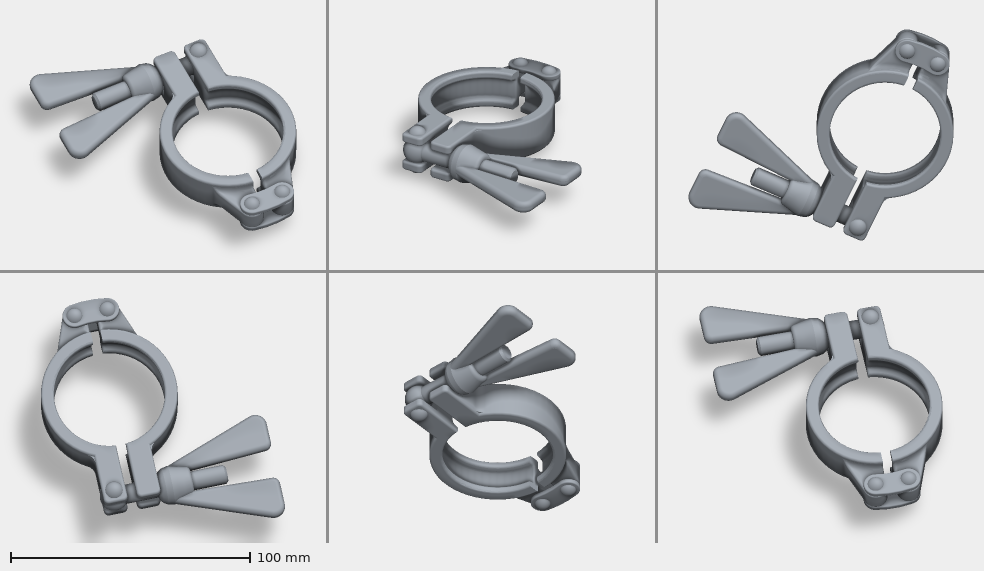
import cadquery as cq
import math


ring_radius = 28.5
bore_radius = 23.1
groove_radius = 26.0
ring_height = 16.5
half_height = ring_height / 2
half_gap = 2.0
edge_fillet = 1.0
lip_height = 3.0
lip_z = half_height - lip_height
lip_slope = 15

pivot_y = 7.0
arm_end_x = -47.6
arm_inner_x = -20.9
arm_outer_y = 2 * pivot_y - half_gap
arm_corner_radius = 2.0
arm_root_radius = 5.0
slot_height = 8.8

hinge_x = 37.2
ear_radius = pivot_y - half_gap
ear_height = 8.6
ear_root_fillet = 2.0
ear_root_x = 22.2
ear_inner_x = 25.3
ear_edge_angle = 20
link_thickness = 2.2
link_fillet = 0.49

pin_diameter = 4.9
bolt_pin_dome_diameter = 7.4
bolt_pin_dome_height = 2.4
hinge_pin_dome_diameter = 6.6
hinge_pin_dome_height = 2.0

bolt_x = -42.4
bolt_diameter = 8.0
bolt_radius = bolt_diameter / 2
bolt_end_y = -41.1
bolt_chamfer = 1.0
eye_radius = 5.9
eye_clearance = 0.1
slot_end_x = bolt_x + eye_radius + eye_clearance

nut_top_y = -11.3
nut_dome_y = -12.6
nut_shoulder_y = -14.6
nut_widest_y = -17.3
nut_bottom_y = -26.2
nut_top_radius = 4.5
nut_dome_radius = 6.5
nut_shoulder_radius = 7.7
nut_widest_radius = 8.2
nut_bottom_radius = 6.0
nut_fillet = 1.7
wing_end_y = -61.9
wing_thickness = 5.0
wing_edge_fillet = 2.0
wing_outer_reach = 25.1
wing_outer_radius = 4.9
wing_inner_radius = 3.0
wing_root_reach = 4.6
left_wing_inner_reach = 5.9
right_wing_inner_reach = 7.0

margin = 0.1


def box_between(low, high):
    """Selector for what has its centre in the box between two corners."""
    return cq.selectors.BoxSelector(low, high)


def upper_space():
    size = 4 * ring_radius
    return cq.Workplane("XY").rect(size, size).extrude(half_height)


def bore_void():
    """Upper half of the space inside the ring: bore, flared top end and tapered groove."""
    rise = (groove_radius - bore_radius) * math.tan(math.radians(lip_slope))
    profile = (
        cq.Workplane("XZ")
        .lineTo(groove_radius, 0)
        .lineTo(groove_radius, lip_z - rise)
        .lineTo(bore_radius, lip_z)
        .lineTo(bore_radius, half_height - edge_fillet)
        .radiusArc((bore_radius + edge_fillet, half_height), edge_fillet)
        .lineTo(0, half_height)
        .close()
    )
    void = profile.revolve(360, (0, 0), (0, 1))
    groove_corner = cq.selectors.RadiusNthSelector(-1)
    return void.edges(groove_corner).edges(">Z").fillet(edge_fillet)


def half_ring():
    """Solid ring blank on the +Y side; on the left it stops inside the arm."""
    disc = (
        cq.Workplane("XY").circle(ring_radius).extrude(half_height, both=True)
        .faces("|Z").edges().fillet(edge_fillet)
    )
    quarter = cq.Workplane("XY").box(
        ring_radius, ring_radius, ring_height, centered=(False, False, True)
    )
    right = quarter.translate((0, half_gap, 0))
    left = quarter.translate((-ring_radius, pivot_y, 0))
    return disc.intersect(right.union(left))


def arm():
    """Forked arm that runs from the bolt to the ring, before the bore is cut."""
    body = (
        cq.Workplane("XY")
        .moveTo(arm_end_x, half_gap)
        .lineTo(arm_inner_x, half_gap)
        .lineTo(arm_inner_x, arm_outer_y)
        .lineTo(arm_end_x, arm_outer_y)
        .close()
        .extrude(half_height, both=True)
        .edges("|Z and <X").fillet(arm_corner_radius)
        .faces("|Z").edges("not >X").fillet(edge_fillet)
    )
    slot = (
        cq.Workplane("XY")
        .box(slot_end_x - arm_end_x, 2 * arm_outer_y, slot_height, centered=(False, True, True))
        .translate((arm_end_x, 0, 0))
    )
    slot_z = slot_height / 2 + margin
    slot_rims = box_between(
        (arm_end_x - margin, 0, -slot_z), (slot_end_x - margin, arm_outer_y + margin, slot_z)
    )
    slot_faces = box_between((arm_end_x, 0, -slot_z), (slot_end_x, arm_outer_y, slot_z))
    forked = body.cut(slot)
    return forked.faces(slot_faces).faces("|Z").edges(slot_rims).fillet(edge_fillet)


def arm_root():
    """Rounded filler in the corner between the arm and the ring."""
    centre_y = arm_outer_y + arm_root_radius
    centre_distance = ring_radius + arm_root_radius
    centre_x = -math.sqrt(centre_distance ** 2 - centre_y ** 2)
    tangent_scale = ring_radius / centre_distance
    filler = (
        cq.Workplane("XY")
        .moveTo(centre_x, arm_outer_y)
        .lineTo(centre_x * tangent_scale, arm_outer_y)
        .lineTo(centre_x * tangent_scale, centre_y * tangent_scale)
        .close()
        .extrude(half_height - edge_fillet, both=True)
    )
    round_cutter = (
        cq.Workplane("XY").center(centre_x, centre_y).circle(arm_root_radius)
        .extrude(half_height, both=True)
    )
    return filler.cut(round_cutter)


def ear():
    """Ear plate with sharp edges, rounded about the hinge pin."""
    slope = math.radians(ear_edge_angle)
    tangent_x = hinge_x + ear_radius * math.sin(slope)
    tangent_y = pivot_y + ear_radius * math.cos(slope)
    root_y = tangent_y + (tangent_x - ear_root_x) * math.tan(slope)
    return (
        cq.Workplane("XY")
        .moveTo(ear_inner_x, half_gap)
        .lineTo(hinge_x, half_gap)
        .threePointArc((hinge_x + ear_radius, pivot_y), (tangent_x, tangent_y))
        .lineTo(ear_root_x, root_y)
        .close()
        .extrude(ear_height / 2, both=True)
    )


def hinge_ear():
    """Upper half of the ear, joined to the ring by a cove and rounded along its rim."""
    face_z = ear_height / 2
    body = half_ring().union(ear()).intersect(upper_space())
    root = box_between(
        (bore_radius / 2, half_gap + margin, margin),
        (ring_radius - margin, bore_radius, face_z + margin),
    )
    rim = box_between(
        (ring_radius + edge_fillet, 0, face_z - margin),
        (hinge_x + ear_radius, bore_radius, face_z + margin),
    )
    return body.edges(root).fillet(ear_root_fillet).edges(rim).fillet(edge_fillet)


def groove_mouth(start_x):
    """Selector for the groove's edges on the parting plane, from start_x toward +X."""
    end_x = start_x + groove_radius - bore_radius
    return box_between(
        (start_x + margin, half_gap - margin, margin),
        (end_x + margin if start_x > 0 else end_x - margin, half_gap + margin, lip_z - margin),
    )


def clamp_half():
    """The half on the +Y side, without pin holes."""
    upper = half_ring().union(arm()).union(arm_root()).intersect(upper_space())
    upper = upper.union(hinge_ear()).cut(bore_void())

    mouths = groove_mouth(bore_radius) + groove_mouth(-groove_radius - margin)
    lip_edge = box_between(
        (-bore_radius, pivot_y, lip_z - margin), (bore_radius, ring_radius, lip_z + margin)
    )
    upper = upper.edges(mouths + lip_edge).fillet(edge_fillet)
    return upper.union(upper.mirror("XY")).clean()


def pin_hole(x, y):
    return cq.Workplane("XY").center(x, y).circle(pin_diameter / 2).extrude(half_height, both=True)


def pin(x, y, grip_height, dome_diameter, dome_height):
    """Straight pin with a domed head at each end of the gripped stack."""
    grip = grip_height / 2
    shank = pin_diameter / 2
    dome_radius = dome_diameter / 2
    tip = grip + dome_height
    sphere_radius = (dome_radius ** 2 + dome_height ** 2) / (2 * dome_height)
    half_angle = math.asin(dome_radius / sphere_radius) / 2
    middle_radius = sphere_radius * math.sin(half_angle)
    middle_z = tip - sphere_radius * (1 - math.cos(half_angle))
    return (
        cq.Workplane("XZ")
        .moveTo(0, -tip)
        .threePointArc((middle_radius, -middle_z), (dome_radius, -grip))
        .lineTo(shank, -grip)
        .lineTo(shank, grip)
        .lineTo(dome_radius, grip)
        .threePointArc((middle_radius, middle_z), (0, tip))
        .close()
        .revolve(360, (0, 0), (0, 1))
        .translate((x, y, 0))
    )


def eye_bolt():
    """Bolt along Y whose ball-shaped eye is flattened to fit the arm's slot."""
    shank = (
        cq.Workplane("XZ", origin=(bolt_x, pivot_y, 0)).circle(bolt_radius)
        .extrude(pivot_y - bolt_end_y)
        .faces("<Y").chamfer(bolt_chamfer)
    )
    slab = cq.Workplane("XY").box(4 * eye_radius, 4 * eye_radius, bolt_diameter)
    eye = cq.Workplane("XY").sphere(eye_radius).intersect(slab)
    return shank.union(eye.translate((bolt_x, pivot_y, 0))).cut(pin_hole(bolt_x, pivot_y))


def nut_hub():
    """Hub turned about the bolt axis: domed top, then a taper down to a rounded end."""
    return (
        cq.Workplane("XY")
        .moveTo(0, nut_top_y)
        .lineTo(nut_top_radius, nut_top_y)
        .threePointArc((nut_dome_radius, nut_dome_y), (nut_shoulder_radius, nut_shoulder_y))
        .lineTo(nut_widest_radius, nut_widest_y)
        .lineTo(nut_bottom_radius, nut_bottom_y)
        .lineTo(0, nut_bottom_y)
        .close()
        .revolve(360, (0, 0), (0, 1))
        .faces("<Y").edges().fillet(nut_fillet)
        .translate((bolt_x, 0, 0))
    )


def wing(inner_reach):
    """Wing on the +X side of a bolt axis at x = 0."""
    plate = (
        cq.Workplane("XY")
        .moveTo(nut_widest_radius, nut_widest_y)
        .lineTo(wing_outer_reach, wing_end_y)
        .lineTo(inner_reach, wing_end_y)
        .lineTo(wing_root_reach, nut_bottom_y)
        .lineTo(0, nut_widest_y)
        .close()
        .extrude(wing_thickness / 2, both=True)
        .edges("|Z and <Y and >X").fillet(wing_outer_radius)
        .edges("|Z and <Y").edges("<X").fillet(wing_inner_radius)
    )
    return plate.faces("|Z").edges("not >Y").fillet(wing_edge_fillet)


def wing_nut():
    right_wing = wing(right_wing_inner_reach).translate((bolt_x, 0, 0))
    left_wing = wing(left_wing_inner_reach).mirror("YZ").translate((bolt_x, 0, 0))
    bolt_hole = cq.Workplane("XZ", origin=(bolt_x, 0, 0)).circle(bolt_radius).extrude(-bolt_end_y)
    return nut_hub().union(right_wing).union(left_wing).cut(bolt_hole)


def link():
    """Upper link plate, bent along an arc about the ring axis and lying on the ears."""
    middle = math.hypot(hinge_x, pivot_y)
    pitch = math.atan2(pivot_y, hinge_x)
    inner = middle - ear_radius
    outer = middle + ear_radius

    def on_arc(radius, side):
        return (radius * math.cos(pitch), side * radius * math.sin(pitch))

    def end_point(side):
        end_x = hinge_x - ear_radius * math.sin(pitch)
        end_y = pivot_y + ear_radius * math.cos(pitch)
        return (end_x, side * end_y)

    plate = (
        cq.Workplane("XY", origin=(0, 0, ear_height / 2))
        .moveTo(*on_arc(outer, -1))
        .threePointArc((outer, 0), on_arc(outer, 1))
        .threePointArc(end_point(1), on_arc(inner, 1))
        .threePointArc((inner, 0), on_arc(inner, -1))
        .threePointArc(end_point(-1), on_arc(outer, -1))
        .close()
        .extrude(link_thickness)
        .faces("|Z").edges().fillet(link_fillet)
    )
    for side in (1, -1):
        plate = plate.cut(pin_hole(hinge_x, side * pivot_y))
    return plate


plain_half = clamp_half().cut(pin_hole(hinge_x, pivot_y))
bolt_half = plain_half.cut(pin_hole(bolt_x, pivot_y))
nut_half = plain_half.mirror("XZ").cut(nut_hub())
bolt = eye_bolt()
nut = wing_nut()
bolt_pin = pin(bolt_x, pivot_y, ring_height, bolt_pin_dome_diameter, bolt_pin_dome_height)

hinge_grip = ear_height + 2 * link_thickness
hinge_pins = [
    pin(hinge_x, side * pivot_y, hinge_grip, hinge_pin_dome_diameter, hinge_pin_dome_height)
    for side in (1, -1)
]

top_link = link()
links = [top_link, top_link.mirror("XY")]

bodies = [bolt_half, nut_half, bolt, nut, bolt_pin, *hinge_pins, *links]
result = cq.Compound.makeCompound([body.val() for body in bodies])